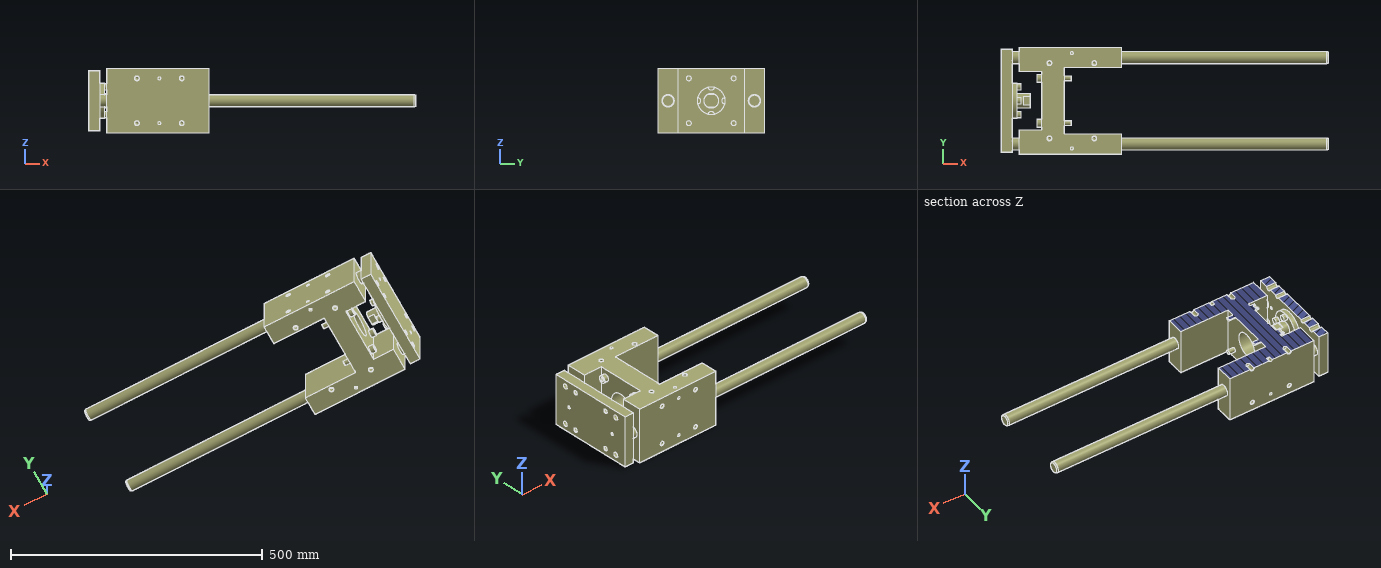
import cadquery as cq
import math


total_length = 651.0
block_width = 213.0
block_height = 129.0

plate_thickness = 22.0
plate_width = 206.0
plate_height = 120.0

block_front = 36.0
block_length = 204.0
front_recess_width = 116.0
front_recess_depth = 45.0
rear_recess_width = 131.5
web_thickness = 45.0
cylinder_bore_diameter = 55.0

rod_diameter = 25.0
rod_spacing = 172.0
rod_end_taper_length = 3.0
rod_end_diameter = 22.0

square_pitch = 89.0
wide_pitch = 150.0
clearance_hole_diameter = 11.0
tapped_hole_diameter = 8.5
tapped_hole_mouth_diameter = 10.0
drill_tip_angle = 120.0
dowel_hole_diameter = 6.0
plate_dowel_pitch = 129.0
top_dowel_pitch = 189.5
mounting_x_offset = 105.0
mounting_x_middle = block_front + mounting_x_offset
tapped_hole_depth = 16.0
dowel_hole_depth = 10.0

web_screw_head_diameter = 16.0
web_screw_head_height = 10.0
web_screw_diameter = 10.0
web_screw_projection = 14.0
web_screw_socket_diameter = 8.0
web_screw_socket_depth = 5.0

flange_diameter = 70.0
flange_thickness = 10.0
coupling_diameter = 29.0
coupling_length = 26.0
flats_width = 24.0
flats_length = 13.5
flange_screw_count = 4
flange_screw_circle = 55.5
flange_screw_head_diameter = 13.0
flange_screw_head_height = 8.0


def x_cylinders(diameter, x_start, length, centres):
    """Cylinders along +X at the given (y, z) centres."""
    return (
        cq.Workplane("YZ", origin=(x_start, 0, 0))
        .pushPoints(centres)
        .circle(diameter / 2)
        .extrude(length)
    )


def tapped_holes(workplane, centres, depth):
    """Cutters sunk below the workplane: 45 degree chamfered mouth, straight bore and conical drill tip."""
    bore_radius = tapped_hole_diameter / 2
    mouth_radius = tapped_hole_mouth_diameter / 2
    mouth_depth = mouth_radius - bore_radius
    tip_length = bore_radius / math.tan(math.radians(drill_tip_angle / 2))
    profile = [
        (0, 0),
        (mouth_radius, 0),
        (bore_radius, -mouth_depth),
        (bore_radius, -depth),
        (0, -depth - tip_length),
    ]
    cutter = cq.Workplane("XZ").polyline(profile).close().revolve(360, (0, 0), (0, 1)).val()
    return workplane.pushPoints(centres).eachpoint(cutter, useLocalCoordinates=True)


def rectangle_points(first_pitch, second_pitch):
    """Four corners of a centred rectangle."""
    return [(i * first_pitch / 2, j * second_pitch / 2) for i in (-1, 1) for j in (-1, 1)]


def pair_points(pitch):
    """Two points on the Y axis, symmetric about the centre."""
    return [(-pitch / 2, 0), (pitch / 2, 0)]


def make_coupling():
    """Round flange with its screw heads and a stub with two flats facing +Z and -Z."""
    flange_back = plate_thickness + flange_thickness
    flange = x_cylinders(flange_diameter, plate_thickness, flange_thickness, [(0, 0)])
    stub = x_cylinders(coupling_diameter, flange_back, coupling_length, [(0, 0)])
    flats_start = flange_back + coupling_length - flats_length
    flats_zone = x_cylinders(coupling_diameter, flats_start, flats_length, [(0, 0)])
    flats_plane = cq.Workplane("YZ", origin=(flats_start, 0, 0))
    kept = flats_plane.rect(coupling_diameter, flats_width).extrude(flats_length)
    stub = stub.cut(flats_zone.cut(kept))
    angles = [2 * math.pi * i / flange_screw_count for i in range(flange_screw_count)]
    radius = flange_screw_circle / 2
    centres = [(radius * math.cos(a), radius * math.sin(a)) for a in angles]
    heads = x_cylinders(flange_screw_head_diameter, flange_back, flange_screw_head_height, centres)
    return flange.union(stub).union(heads)


def make_rods():
    """Two guide rods with tapered free ends."""
    taper_start = total_length - rod_end_taper_length
    centres = pair_points(rod_spacing)
    shafts = x_cylinders(rod_diameter, plate_thickness, taper_start - plate_thickness, centres)
    taper_angle = math.degrees(math.atan((rod_diameter - rod_end_diameter) / 2 / rod_end_taper_length))
    ends = (
        cq.Workplane("YZ", origin=(taper_start, 0, 0))
        .pushPoints(centres)
        .circle(rod_diameter / 2)
        .extrude(rod_end_taper_length, taper=taper_angle)
    )
    return shafts.union(ends)


def make_slide():
    """Front plate in one piece with its rods and coupling."""
    plate = cq.Workplane("XY").box(plate_thickness, plate_width, plate_height, centered=(False, True, True))
    hole_groups = [
        (clearance_hole_diameter, rectangle_points(wide_pitch, square_pitch)),
        (dowel_hole_diameter, pair_points(plate_dowel_pitch)),
    ]
    for diameter, centres in hole_groups:
        plate = plate.cut(x_cylinders(diameter, 0, plate_thickness, centres))
    front_face = cq.Workplane(cq.Plane(origin=(0, 0, 0), xDir=(0, -1, 0), normal=(-1, 0, 0)))
    tapped_centres = rectangle_points(square_pitch, square_pitch)
    tapped = tapped_holes(front_face, tapped_centres, plate_thickness)
    return plate.cut(tapped).union(make_rods()).union(make_coupling())


def cut_face_holes(block, face, tapped_row, dowel_row):
    """Blind holes in one long face, in two rows at equal distances either side of its middle.

    The face is an outward-facing plane with its local x axis along the rods.
    """
    workplane = cq.Workplane(face)
    for side in (-1, 1):
        tapped_centres = [(end * square_pitch / 2, side * tapped_row) for end in (-1, 1)]
        tapped = tapped_holes(workplane, tapped_centres, tapped_hole_depth)
        dowel_centre = workplane.center(0, side * dowel_row)
        dowel = dowel_centre.circle(dowel_hole_diameter / 2).extrude(-dowel_hole_depth)
        block = block.cut(tapped).cut(dowel)
    return block


def cut_mounting_holes(block):
    """The same holes in top and bottom, and the same holes in both flanks."""
    for side in (-1, 1):
        top_origin = (mounting_x_middle, 0, side * block_height / 2)
        flank_origin = (mounting_x_middle, side * block_width / 2, 0)
        top = cq.Plane(origin=top_origin, xDir=(1, 0, 0), normal=(0, 0, side))
        flank = cq.Plane(origin=flank_origin, xDir=(1, 0, 0), normal=(0, side, 0))
        block = cut_face_holes(block, top, wide_pitch / 2, top_dowel_pitch / 2)
        block = cut_face_holes(block, flank, square_pitch / 2, square_pitch / 2)
    return block


def make_guide_block():
    """H-shaped block with rod bores, cylinder bore, mounting holes and web screws."""
    web_front = block_front + front_recess_depth
    web_back = web_front + web_thickness
    block = cq.Workplane("XY", origin=(block_front, 0, 0)).box(
        block_length, block_width, block_height, centered=(False, True, True)
    )
    front_recess = cq.Workplane("XY", origin=(block_front, 0, 0)).box(
        front_recess_depth, front_recess_width, block_height, centered=(False, True, True)
    )
    rear_recess = cq.Workplane("XY", origin=(web_back, 0, 0)).box(
        block_length, rear_recess_width, block_height, centered=(False, True, True)
    )
    block = block.cut(front_recess).cut(rear_recess)
    block = block.cut(x_cylinders(rod_diameter, block_front, block_length, pair_points(rod_spacing)))
    block = block.cut(x_cylinders(cylinder_bore_diameter, web_front, web_thickness, [(0, 0)]))
    block = cut_mounting_holes(block)
    screw_centres = rectangle_points(square_pitch, square_pitch)
    heads = x_cylinders(
        web_screw_head_diameter, web_front - web_screw_head_height, web_screw_head_height, screw_centres
    )
    tips = x_cylinders(web_screw_diameter, web_back, web_screw_projection, screw_centres)
    sockets = x_cylinders(
        web_screw_socket_diameter, web_front - web_screw_head_height, web_screw_socket_depth, screw_centres
    )
    return block.union(heads.cut(sockets)).union(tips)


slide = make_slide().solids()
guide_block = make_guide_block().solids()
result = cq.Compound.makeCompound([slide.val(), guide_block.val()])